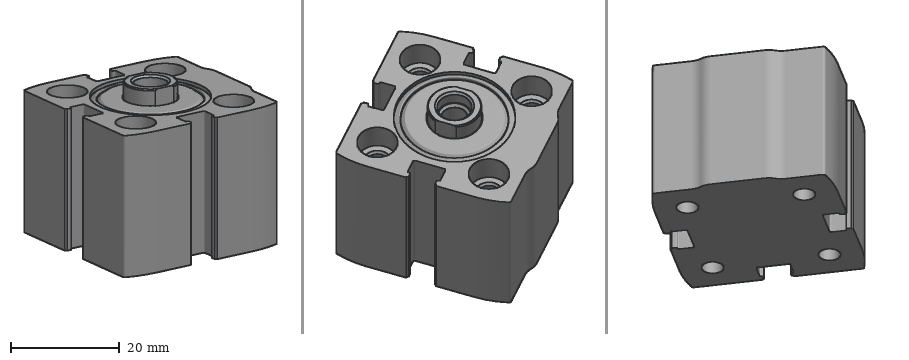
import cadquery as cq
import math


WIDTH = 34.5
HALF_WIDTH = WIDTH / 2
HEIGHT = 27.5
SIDE_FLAT_HALF = 10.75
SIDE_BEND_RADIUS = 20.0
CORNER_RADIUS = 0.5

PAD_RISE = 1.0
PAD_TOP_HALF = 5.2
PAD_FOOT_HALF = 8.8

SLOT_DEPTH = 4.5
SLOT_HALF = 3.2
LIP_THICKNESS = 1.35
MOUTH_HALF = 2.6
MOUTH_RADIUS = 0.35
SLOT_FLOOR_RADIUS = 0.35
LIP_RADIUS = 0.25
SLOT_ANGLES = (0, 90, 180)

MOUNT_OFFSET = 11.0
MOUNT_BORE_DIA = 4.12
MOUNT_CHAMFER_DIA = 5.0
MOUNT_SEAT_DIA = 7.5
MOUNT_SEAT_DEPTH = 5.0

RECESS_RADIUS = 22.4 / 2
COVER_SINK = 0.18
COVER_Z = HEIGHT - COVER_SINK
RIM_RADIUS = 20.0 / 2
RIM_ROUND = 0.18
RIM_SLOPE = 30
GROOVE_FLOOR_RADIUS = 9.9
COVER_FLANK_RADIUS = 9.23
COVER_FACE_RADIUS = 9.0
COVER_SLOPE = 40

ROD_RADIUS = 10.0 / 2
ROD_RISE = 2.98
ROD_TOP = HEIGHT + ROD_RISE
ROD_BOTTOM = 3.0
ROD_CHAMFER_WIDTH = 0.18
ROD_CHAMFER_HEIGHT = 0.3
FLAT_HALF = 4.55
FLAT_SINK = 1.0
FLAT_BOTTOM = HEIGHT - FLAT_SINK
FLAT_SHOULDER_SLOPE = 30
SEAT_RADIUS = 10.45 / 2
SEAT_DEPTH = 0.35

SOCKET_MOUTH_RADIUS = 7.25 / 2
SOCKET_RADIUS = 6.4 / 2
SOCKET_DEPTH = 2.6
THREAD_MOUTH_RADIUS = 6.05 / 2
THREAD_RADIUS = 4.95 / 2
THREAD_DEPTH = 12.0
SOCKET_CHAMFER_ANGLE = 45
DRILL_POINT_ANGLE = 30


def slope_drop(run, degrees):
    """Height change over a horizontal run at the given slope."""
    return run * math.tan(math.radians(degrees))


def revolved(profile):
    """Turn a closed (radius, z) profile about the Z axis."""
    return profile.close().revolve(360, (0, 0, 0), (0, 1, 0))


def housing_block():
    """Extruded outline with bent sides, rounded corners and the +Y pad."""
    bend_rise = HALF_WIDTH - SIDE_FLAT_HALF
    inset = SIDE_BEND_RADIUS - math.sqrt(SIDE_BEND_RADIUS**2 - bend_rise**2)
    corner_x = HALF_WIDTH - inset
    block = (
        cq.Workplane("XY")
        .moveTo(-corner_x, -HALF_WIDTH)
        .lineTo(corner_x, -HALF_WIDTH)
        .radiusArc((HALF_WIDTH, -SIDE_FLAT_HALF), -SIDE_BEND_RADIUS)
        .lineTo(HALF_WIDTH, SIDE_FLAT_HALF)
        .radiusArc((corner_x, HALF_WIDTH), -SIDE_BEND_RADIUS)
        .lineTo(-corner_x, HALF_WIDTH)
        .radiusArc((-HALF_WIDTH, SIDE_FLAT_HALF), -SIDE_BEND_RADIUS)
        .lineTo(-HALF_WIDTH, -SIDE_FLAT_HALF)
        .radiusArc((-corner_x, -HALF_WIDTH), -SIDE_BEND_RADIUS)
        .close()
        .extrude(HEIGHT)
    )
    block = block.edges("|Z and (>Y or <Y)").fillet(CORNER_RADIUS)
    return block.union(side_pad())


def side_pad():
    """Pad whose ends blend into the +Y side through two equal arcs each."""
    blend_x = (PAD_TOP_HALF + PAD_FOOT_HALF) / 2
    half_run = (PAD_FOOT_HALF - PAD_TOP_HALF) / 2
    half_rise = PAD_RISE / 2
    radius = (half_run**2 + half_rise**2) / (2 * half_rise)
    blend_y = HALF_WIDTH + half_rise
    top_y = HALF_WIDTH + PAD_RISE
    return (
        cq.Workplane("XY")
        .moveTo(-PAD_FOOT_HALF, 0)
        .lineTo(-PAD_FOOT_HALF, HALF_WIDTH)
        .radiusArc((-blend_x, blend_y), -radius)
        .radiusArc((-PAD_TOP_HALF, top_y), radius)
        .lineTo(PAD_TOP_HALF, top_y)
        .radiusArc((blend_x, blend_y), radius)
        .radiusArc((PAD_FOOT_HALF, HALF_WIDTH), -radius)
        .lineTo(PAD_FOOT_HALF, 0)
        .close()
        .extrude(HEIGHT)
    )


def slot_cutter():
    """T-slot opening toward +X, with a rounded mouth and rounded floor corners."""
    mouth_start = HALF_WIDTH - MOUTH_RADIUS
    mouth = (
        cq.Workplane("XY")
        .moveTo(HALF_WIDTH, MOUTH_HALF + MOUTH_RADIUS)
        .radiusArc((mouth_start, MOUTH_HALF), -MOUTH_RADIUS)
        .lineTo(HALF_WIDTH - SLOT_DEPTH / 2, MOUTH_HALF)
        .lineTo(HALF_WIDTH - SLOT_DEPTH / 2, -MOUTH_HALF)
        .lineTo(mouth_start, -MOUTH_HALF)
        .radiusArc((HALF_WIDTH, -MOUTH_HALF - MOUTH_RADIUS), -MOUTH_RADIUS)
        .close()
        .extrude(HEIGHT)
    )
    undercut_depth = SLOT_DEPTH - LIP_THICKNESS
    undercut = (
        cq.Workplane("XY")
        .center(HALF_WIDTH - SLOT_DEPTH + undercut_depth / 2, 0)
        .rect(undercut_depth, 2 * SLOT_HALF)
        .extrude(HEIGHT)
        .edges("|Z and <X")
        .fillet(SLOT_FLOOR_RADIUS)
    )
    lip_x = HALF_WIDTH - LIP_THICKNESS
    lip_step = cq.selectors.BoxSelector(
        (lip_x - LIP_RADIUS, -SLOT_HALF - LIP_RADIUS, 0),
        (lip_x + LIP_RADIUS, SLOT_HALF + LIP_RADIUS, HEIGHT),
    )
    return mouth.union(undercut).edges("|Z").edges(lip_step).fillet(LIP_RADIUS)


def mount_hole_cutter():
    """Through hole with a deep counterbore and a chamfer at the counterbore floor."""
    seat_z = HEIGHT - MOUNT_SEAT_DEPTH
    bore_radius = MOUNT_BORE_DIA / 2
    chamfer_radius = MOUNT_CHAMFER_DIA / 2
    chamfer_z = seat_z - (chamfer_radius - bore_radius)
    return revolved(
        cq.Workplane("XZ")
        .moveTo(0, 0)
        .lineTo(bore_radius, 0)
        .lineTo(bore_radius, chamfer_z)
        .lineTo(chamfer_radius, seat_z)
        .lineTo(MOUNT_SEAT_DIA / 2, seat_z)
        .lineTo(MOUNT_SEAT_DIA / 2, HEIGHT)
        .lineTo(0, HEIGHT)
    )


def cover_recess_cutter():
    """Shallow round recess that sets the cover face below the top face."""
    return (
        cq.Workplane("XY")
        .workplane(offset=COVER_Z)
        .circle(RECESS_RADIUS)
        .extrude(HEIGHT - COVER_Z)
    )


def ring_groove_cutters():
    """Groove between the recess wall and the cover, around a rim with a rounded crest."""
    crest_radius = RIM_RADIUS + RIM_ROUND
    crest_z = COVER_Z - RIM_ROUND
    slope = math.radians(RIM_SLOPE)
    flank_radius = crest_radius + RIM_ROUND * math.sin(slope)
    flank_z = crest_z + RIM_ROUND * math.cos(slope)
    recess_z = flank_z - slope_drop(RECESS_RADIUS - flank_radius, RIM_SLOPE)
    cover_round = (COVER_FLANK_RADIUS - COVER_FACE_RADIUS) / math.sin(math.radians(COVER_SLOPE))
    cover_flank_z = COVER_Z - cover_round * (1 - math.cos(math.radians(COVER_SLOPE)))
    floor_z = cover_flank_z - slope_drop(GROOVE_FLOOR_RADIUS - COVER_FLANK_RADIUS, COVER_SLOPE)
    outer = revolved(
        cq.Workplane("XZ")
        .moveTo(crest_radius, COVER_Z)
        .radiusArc((flank_radius, flank_z), RIM_ROUND)
        .lineTo(RECESS_RADIUS, recess_z)
        .lineTo(RECESS_RADIUS, COVER_Z)
    )
    inner = revolved(
        cq.Workplane("XZ")
        .moveTo(COVER_FACE_RADIUS, COVER_Z)
        .radiusArc((COVER_FLANK_RADIUS, cover_flank_z), cover_round)
        .lineTo(GROOVE_FLOOR_RADIUS, floor_z)
        .lineTo(RIM_RADIUS, floor_z)
        .lineTo(RIM_RADIUS, crest_z)
        .radiusArc((crest_radius, COVER_Z), RIM_ROUND)
    )
    return outer, inner


def rod_bore_cutter():
    """Blind bore for the rod with a countersunk edge."""
    return revolved(
        cq.Workplane("XZ")
        .moveTo(0, ROD_BOTTOM)
        .lineTo(ROD_RADIUS, ROD_BOTTOM)
        .lineTo(ROD_RADIUS, COVER_Z - SEAT_DEPTH)
        .lineTo(SEAT_RADIUS, COVER_Z)
        .lineTo(0, COVER_Z)
    )


def make_housing():
    body = housing_block()
    for angle in SLOT_ANGLES:
        body = body.cut(slot_cutter().rotate((0, 0, 0), (0, 0, 1), -angle))
    for x in (-MOUNT_OFFSET, MOUNT_OFFSET):
        for y in (-MOUNT_OFFSET, MOUNT_OFFSET):
            body = body.cut(mount_hole_cutter().translate((x, y, 0)))
    body = body.cut(cover_recess_cutter())
    for groove in ring_groove_cutters():
        body = body.cut(groove)
    return body.cut(rod_bore_cutter())


def rod_socket_cutter():
    """Chamfered counterbore, then the threaded hole with its drill point."""
    chamfer_z = ROD_TOP - slope_drop(SOCKET_MOUTH_RADIUS - SOCKET_RADIUS, SOCKET_CHAMFER_ANGLE)
    ledge_z = ROD_TOP - SOCKET_DEPTH
    thread_z = ledge_z - slope_drop(THREAD_MOUTH_RADIUS - THREAD_RADIUS, SOCKET_CHAMFER_ANGLE)
    end_z = ROD_TOP - THREAD_DEPTH
    tip_z = end_z - slope_drop(THREAD_RADIUS, DRILL_POINT_ANGLE)
    return revolved(
        cq.Workplane("XZ")
        .moveTo(0, ROD_TOP)
        .lineTo(SOCKET_MOUTH_RADIUS, ROD_TOP)
        .lineTo(SOCKET_RADIUS, chamfer_z)
        .lineTo(SOCKET_RADIUS, ledge_z)
        .lineTo(THREAD_MOUTH_RADIUS, ledge_z)
        .lineTo(THREAD_RADIUS, thread_z)
        .lineTo(THREAD_RADIUS, end_z)
        .lineTo(0, tip_z)
    )


def wrench_flat_cutter():
    """Removes the +X side of the rod top, down to a sloped shoulder."""
    shoulder_z = FLAT_BOTTOM - slope_drop(ROD_RADIUS - FLAT_HALF, FLAT_SHOULDER_SLOPE)
    return (
        cq.Workplane("XZ")
        .moveTo(FLAT_HALF, ROD_TOP)
        .lineTo(FLAT_HALF, FLAT_BOTTOM)
        .lineTo(ROD_RADIUS, shoulder_z)
        .lineTo(ROD_RADIUS, ROD_TOP)
        .close()
        .extrude(ROD_RADIUS, both=True)
    )


def make_rod():
    rod = revolved(
        cq.Workplane("XZ")
        .moveTo(0, ROD_BOTTOM)
        .lineTo(ROD_RADIUS, ROD_BOTTOM)
        .lineTo(ROD_RADIUS, ROD_TOP - ROD_CHAMFER_HEIGHT)
        .lineTo(ROD_RADIUS - ROD_CHAMFER_WIDTH, ROD_TOP)
        .lineTo(0, ROD_TOP)
    )
    rod = rod.cut(rod_socket_cutter())
    for angle in (0, 180):
        rod = rod.cut(wrench_flat_cutter().rotate((0, 0, 0), (0, 0, 1), angle))
    return rod


housing = make_housing()
piston_rod = make_rod()
result = cq.Compound.makeCompound([housing.val(), piston_rod.val()])